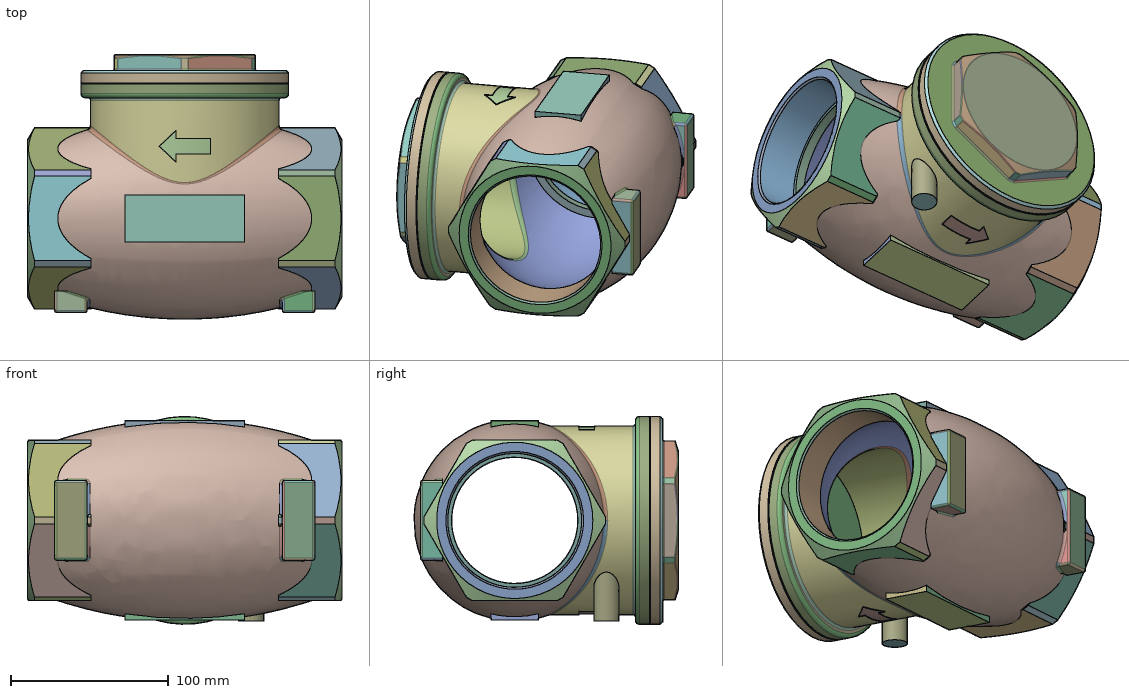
import cadquery as cq
import math

length = 200.0
half_length = length / 2
cap_top_y = 104.0

hull_radius = 64.0
hull_end_radius = 50.8
hull_half_length = 81.2

half_side_angle = 30.0
stock_margin = 2.0

end_hex_flats = 102.0
end_hex_corners = 115.2
end_hex_length = 40.5
end_face_radius = 49.5
end_chamfer_angle = 30.0

thread_diameter = 85.0
thread_depth = 27.0
thread_chamfer = 1.2
seat_diameter = 80.0
seat_thickness = 6.0
cavity_radius = 58.0

neck_radius = 60.0
neck_bore_diameter = 98.0
neck_fillet = 2.8
neck_bore_fillet = 4.0
flange_radius = 66.0
flange_bottom_y = 76.5
flange_top_y = 94.0
flange_chamfer = 1.5
flange_fillet = 2.5
flange_root_fillet = 1.5
joint_y = 85.8
joint_size = 0.5
cap_hex_flats = 89.5
cap_hex_corners = 101.0
cap_edge_fillet = 0.5
cap_root_fillet = 1.0
cap_face_radius = 44.0
cap_chamfer_angle = 18.0

blend_start_y = 20.0
blend_end_y = 56.0
slice_margin = 0.2

plate_length = 76.0
plate_width = 30.0
plate_z = 63.5

foot_outer_x = 82.5
foot_inner_x = 62.0
foot_height = 50.8
foot_front_y = -59.8
foot_root_y = -46.0
foot_fillet = 1.5
foot_root_fillet = 1.5

arrow_y = 45.8
arrow_length = 32.5
arrow_head_length = 10.5
arrow_head_width = 20.0
arrow_shaft_width = 10.0
arrow_depth = 0.5

pad_x = 42.2
pad_y = 58.2
pad_diameter = 16.0
pad_bottom_z = -64.0
pad_root_z = -32.0


def cut_corner_hexagon(workplane, flats, corners, height):
    """Hexagonal prism along the workplane normal, with flattened corners on its local X axis."""
    to_diameter = 1 / math.cos(math.radians(half_side_angle))
    prism = workplane.polygon(6, flats * to_diameter).extrude(height)
    turned_plane = workplane.transformed(rotate=(0, 0, half_side_angle))
    trimmer = turned_plane.polygon(6, corners * to_diameter).extrude(height)
    return prism.intersect(trimmer)


def barrel(half_width, end_radius, middle_radius):
    """Solid of revolution about X with an arc as its side."""
    return (
        cq.Workplane("XY")
        .moveTo(-half_width, 0)
        .lineTo(-half_width, end_radius)
        .threePointArc((0, middle_radius), (half_width, end_radius))
        .lineTo(half_width, 0)
        .close()
        .revolve(360, (0, 0, 0), (1, 0, 0))
    )


def cylinder_x(start_x, end_x, radius):
    return cq.Workplane("YZ", origin=(start_x, 0, 0)).circle(radius).extrude(end_x - start_x)


def cone_stock(end_radius, rim_radius, height, angle):
    """Points (radius, height) of a cylinder whose top rim is coned down to end_radius."""
    drop = (rim_radius - end_radius) * math.tan(math.radians(angle))
    return [(0, 0), (rim_radius, 0), (rim_radius, height - drop), (end_radius, height), (0, height)]


def pipe_end():
    """Hexagonal pipe end on the +X side."""
    inner_x = half_length - end_hex_length
    prism = cut_corner_hexagon(
        cq.Workplane("YZ", origin=(inner_x, 0, 0)), end_hex_flats, end_hex_corners, end_hex_length
    )
    profile = cone_stock(end_face_radius, end_hex_corners / 2 + stock_margin, end_hex_length, end_chamfer_angle)
    stock = (
        cq.Workplane("XY")
        .polyline([(inner_x + along, radius) for radius, along in profile])
        .close()
        .revolve(360, (0, 0, 0), (1, 0, 0))
    )
    return prism.intersect(stock)


def neck():
    return cq.Workplane("XZ").circle(neck_radius).extrude(-joint_y)


def level_zone(y):
    """Selects what is centred in a thin slice across the neck axis."""
    return cq.selectors.BoxSelector((-length, y - slice_margin, -length), (length, y + slice_margin, length))


def blend_neck(solid, radius):
    """Round the curve along which the neck meets the barrel."""
    zone = cq.selectors.BoxSelector((-length, blend_start_y, -length), (length, blend_end_y, length))
    return solid.edges(zone).edges("not %CIRCLE").fillet(radius)


def flange():
    """Flange with rounded lower edge, joint groove and chamfered top edge."""
    disc = (
        cq.Workplane("XZ", origin=(0, flange_bottom_y, 0))
        .circle(flange_radius)
        .extrude(flange_bottom_y - flange_top_y)
    )
    disc = disc.faces("<Y").edges().fillet(flange_fillet)
    disc = disc.faces(">Y").edges().chamfer(flange_chamfer)
    groove = (
        cq.Workplane("XZ", origin=(0, joint_y - joint_size / 2, 0))
        .circle(flange_radius)
        .circle(flange_radius - joint_size)
        .extrude(-joint_size)
    )
    return disc.cut(groove)


def cap_hexagon():
    """Hexagon on the cap, corners along Z, with a coned top edge."""
    height = cap_top_y - flange_top_y
    base = cq.Workplane(cq.Plane((0, flange_top_y, 0), (0, 0, 1), (0, 1, 0)))
    prism = cut_corner_hexagon(base, cap_hex_flats, cap_hex_corners, height)
    profile = cone_stock(cap_face_radius, cap_hex_corners / 2 + stock_margin, height, cap_chamfer_angle)
    stock = (
        cq.Workplane("XY")
        .polyline([(radius, flange_top_y + along) for radius, along in profile])
        .close()
        .revolve(360, (0, 0, 0), (0, 1, 0))
    )
    return prism.intersect(stock).edges("not <Y").fillet(cap_edge_fillet)


def foot():
    """Foot on the +X side, reaching from the hull toward -Y."""
    return (
        cq.Workplane("XY")
        .box(foot_outer_x - foot_inner_x, foot_root_y - foot_front_y, foot_height, centered=(False, False, True))
        .translate((foot_inner_x, foot_front_y, 0))
        .edges("<Y or |Y")
        .fillet(foot_fillet)
    )


def arrow():
    """Arrow pointing to -X that cuts shallowly into both sides of the neck."""
    tip_x = -arrow_length / 2
    head_x = tip_x + arrow_head_length
    outline = [
        (tip_x, 0),
        (head_x, arrow_head_width / 2),
        (head_x, arrow_shaft_width / 2),
        (-tip_x, arrow_shaft_width / 2),
        (-tip_x, -arrow_shaft_width / 2),
        (head_x, -arrow_shaft_width / 2),
        (head_x, -arrow_head_width / 2),
    ]
    prism = (
        cq.Workplane("XY", origin=(0, arrow_y, 0)).polyline(outline).close().extrude(neck_radius, both=True)
    )
    floor = cq.Workplane("XZ").circle(neck_radius - arrow_depth).extrude(-joint_y)
    return prism.cut(floor)


def passage():
    """Cavity, neck bore, threaded ends and the seat on the +X side."""
    thread_radius = thread_diameter / 2
    thread_end_x = half_length - thread_depth
    seat_x = thread_end_x - seat_thickness
    cavity = barrel(thread_end_x, thread_radius, cavity_radius)
    neck_bore = cq.Workplane("XZ").circle(neck_bore_diameter / 2).extrude(-joint_y)
    room = blend_neck(cavity.union(neck_bore), neck_bore_fillet)
    room = room.cut(cylinder_x(seat_x, half_length, hull_radius))
    room = room.union(cylinder_x(0, half_length, seat_diameter / 2))
    for side in (-1, 1):
        thread = cylinder_x(side * thread_end_x, side * half_length, thread_radius)
        mouth = cq.Workplane(
            obj=cq.Solid.makeCone(
                thread_radius + thread_chamfer,
                thread_radius,
                thread_chamfer,
                cq.Vector(side * half_length, 0, 0),
                cq.Vector(-side, 0, 0),
            )
        )
        room = room.union(thread).union(mouth)
    return room


hull = barrel(hull_half_length, hull_end_radius, hull_radius)
crown_limit = cq.Workplane("XY").box(length, length, 2 * plate_z)
hull = hull.intersect(crown_limit)
body = hull.union(neck())
body = blend_neck(body, neck_fillet)

right_foot = foot()
body = body.union(right_foot).union(right_foot.mirror("YZ"))
for side in (-1, 1):
    inner_face_x = side * foot_inner_x
    root_zone = cq.selectors.BoxSelector(
        (inner_face_x - slice_margin, foot_front_y + foot_fillet, -slice_margin),
        (inner_face_x + slice_margin, foot_root_y, slice_margin),
    )
    body = body.edges(root_zone).fillet(foot_root_fillet)

right_end = pipe_end()
body = body.union(right_end).union(right_end.mirror("YZ"))

closure = neck().union(flange()).union(cap_hexagon())
cap_root = closure.edges(level_zone(flange_top_y)).edges("not %CIRCLE")
closure = cap_root.fillet(cap_root_fillet)
flange_root = closure.edges(level_zone(flange_bottom_y)).edges(cq.selectors.RadiusNthSelector(0))
closure = flange_root.fillet(flange_root_fillet)
body = body.union(closure)

plates = cq.Workplane("XY").box(plate_length, plate_width, 2 * plate_z)
pad = (
    cq.Workplane("XY", origin=(pad_x, pad_y, pad_bottom_z))
    .circle(pad_diameter / 2)
    .extrude(pad_root_z - pad_bottom_z)
)
body = body.union(plates).union(pad)

result = body.cut(arrow()).cut(passage())